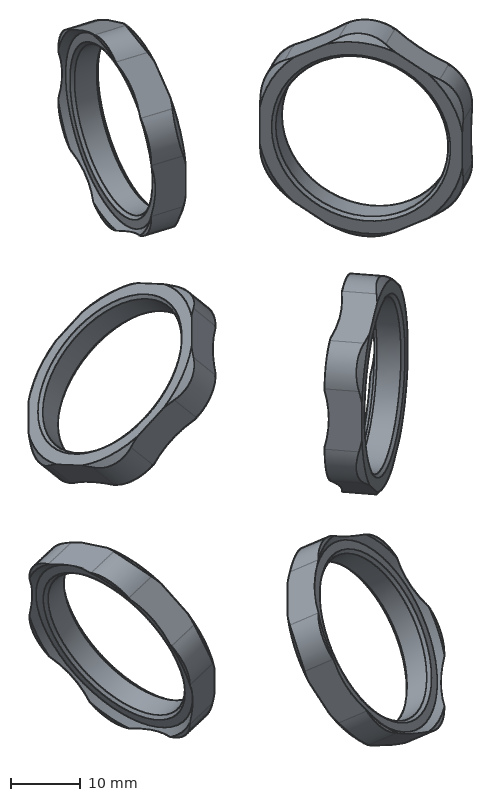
import cadquery as cq
import math

across_flats = 30.0
across_corners = 32.48
thickness = 5.5
bore_diameter = 25.5
bore_chamfer = 0.5
recess_floor_diameter = 29.23
recess_depth = 1.0
rear_chamfer = 0.97

sharp_corner_radius = across_flats / 2 / math.cos(math.pi / 6)
corner_trim = sharp_corner_radius - across_corners / 2
corner_rounding = corner_trim / (1 / math.cos(math.pi / 6) - 1)

front_y = -thickness / 2
rear_y = thickness / 2
floor_y = front_y + recess_depth


def cone_frustum(y_start, y_end, radius_start, radius_end):
    """Solid of revolution about Y between two radii."""
    profile = [(0, y_start), (radius_start, y_start), (radius_end, y_end), (0, y_end)]
    return cq.Workplane("XY").polyline(profile).close().revolve(360, (0, 0), (0, 1))


body = (
    cq.Workplane("XZ")
    .polygon(6, 2 * sharp_corner_radius)
    .extrude(thickness / 2, both=True)
    .rotate((0, 0, 0), (0, 1, 0), 30)
    .edges("|Y")
    .fillet(corner_rounding)
)

corner_radius = across_corners / 2
chamfer_start_y = rear_y - rear_chamfer
straight_envelope = cone_frustum(front_y, chamfer_start_y, sharp_corner_radius, sharp_corner_radius)
rear_cone = cone_frustum(chamfer_start_y, rear_y, corner_radius, corner_radius - rear_chamfer)
body = body.intersect(straight_envelope.union(rear_cone))

floor_radius = recess_floor_diameter / 2
recess = cone_frustum(front_y, floor_y, floor_radius + recess_depth, floor_radius)

bore_radius = bore_diameter / 2
bore_mouth_radius = bore_radius + bore_chamfer
bore = cone_frustum(front_y, rear_y, bore_radius, bore_radius)
front_entry = cone_frustum(floor_y, floor_y + bore_chamfer, bore_mouth_radius, bore_radius)
rear_entry = cone_frustum(rear_y - bore_chamfer, rear_y, bore_radius, bore_mouth_radius)

result = body.cut(recess).cut(bore).cut(front_entry).cut(rear_entry)